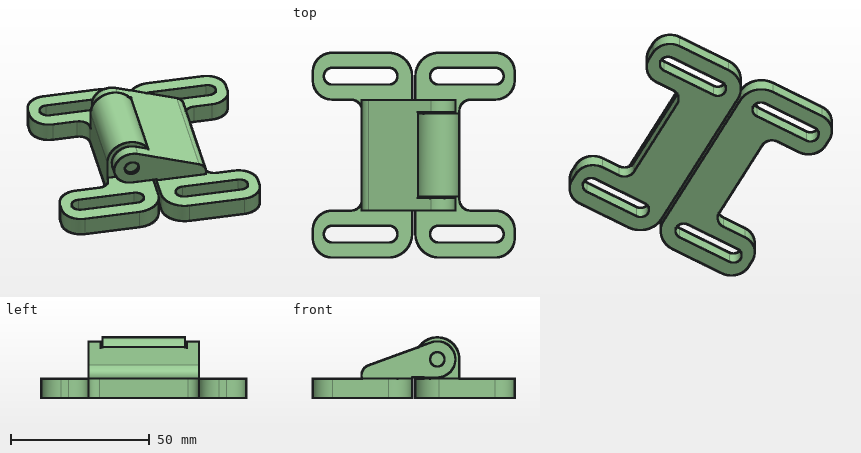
import cadquery as cq
import math

plate_thickness = 7.0
gap_half = 0.5
plate_reach = 36.5
half_length = 37.0
waist_half_length = 20.0
waist_fillet = 4.0
outer_corner_radius = 7.1
inner_corner_radius = 8.65
slot_length = 26.5
slot_width = 6.0
slot_center_x = 19.2
slot_center_y = (half_length + waist_half_length) / 2

axis_x = 8.5
axis_z = 14.0

knuckle_radius = 8.0
knuckle_width = 29.9
foot_left_x = 3.55
knuckle_right_x = axis_x + knuckle_radius

arm_width = 2 * waist_half_length
ear_radius = 6.5
arm_slope = math.radians(20)
nose_radius = 4.0
nose_tangent_x = -16.3
pocket_radius = 8.2
pocket_width = 31.1
waist_left_x = -18.65

pin_radius = 2.6
pin_recess = 1.0
pin_length = arm_width - 2 * pin_recess


def cylinder_on_axis(radius, width):
    """Cylinder on the hinge axis, centred on the XZ plane."""
    return (
        cq.Workplane("XZ", origin=(axis_x, width / 2, axis_z))
        .circle(radius)
        .extrude(width)
    )


def box_between(x_min, x_max, width, z_min, z_max):
    """Box centred on the XZ plane."""
    return (
        cq.Workplane("XY", origin=((x_min + x_max) / 2, 0, z_min))
        .rect(x_max - x_min, width)
        .extrude(z_max - z_min)
    )


def make_plate(side, waist_x):
    """C-shaped plate with two slotted lugs; side is -1 (left) or 1 (right)."""
    inner_x = side * gap_half
    outer_x = side * plate_reach
    plate = (
        cq.Workplane("XY")
        .moveTo(inner_x, -half_length)
        .lineTo(outer_x, -half_length)
        .lineTo(outer_x, -waist_half_length)
        .lineTo(waist_x, -waist_half_length)
        .lineTo(waist_x, waist_half_length)
        .lineTo(outer_x, waist_half_length)
        .lineTo(outer_x, half_length)
        .lineTo(inner_x, half_length)
        .close()
        .extrude(plate_thickness)
    )
    outer_edges = plate.faces("<X" if side < 0 else ">X").edges("|Z")
    plate = outer_edges.fillet(outer_corner_radius)
    inner_edges = plate.faces(">X" if side < 0 else "<X").edges("|Z")
    plate = inner_edges.fillet(inner_corner_radius)
    waist_corners = [(waist_x, y, plate_thickness / 2) for y in (-waist_half_length, waist_half_length)]
    for corner in waist_corners:
        plate = plate.edges(cq.selectors.NearestToPointSelector(corner)).fillet(waist_fillet)
    slots = (
        cq.Workplane("XY")
        .pushPoints([(side * slot_center_x, y) for y in (-slot_center_y, slot_center_y)])
        .slot2D(slot_length, slot_width)
        .extrude(plate_thickness)
    )
    return plate.cut(slots)


def make_arm():
    """Wedge-shaped arm from the rounded nose to the ears, with the knuckle pocket."""
    sin_slope = math.sin(arm_slope)
    cos_slope = math.cos(arm_slope)
    ear_tangent_x = axis_x - ear_radius * sin_slope
    ear_tangent_z = axis_z + ear_radius * cos_slope
    nose_tangent_z = ear_tangent_z - (ear_tangent_x - nose_tangent_x) * math.tan(arm_slope)
    nose_x = nose_tangent_x + nose_radius * sin_slope
    nose_z = nose_tangent_z - nose_radius * cos_slope
    nose_drop = nose_z - plate_thickness
    nose_foot_x = nose_x - math.sqrt(nose_radius**2 - nose_drop**2)
    ear_bottom_z = axis_z - ear_radius
    arm = (
        cq.Workplane("XZ", origin=(0, arm_width / 2, 0))
        .moveTo(nose_foot_x, plate_thickness)
        .threePointArc((nose_x - nose_radius, nose_z), (nose_tangent_x, nose_tangent_z))
        .lineTo(ear_tangent_x, ear_tangent_z)
        .threePointArc((axis_x + ear_radius, axis_z), (axis_x, ear_bottom_z))
        .lineTo(-gap_half, ear_bottom_z)
        .lineTo(-gap_half, plate_thickness)
        .close()
        .extrude(arm_width)
    )
    pocket = cylinder_on_axis(pocket_radius, pocket_width)
    return arm.cut(pocket).cut(cylinder_on_axis(pin_radius, arm_width))


def make_knuckle():
    """Barrel on a straight foot, with the pin ends standing out on both sides."""
    barrel = cylinder_on_axis(knuckle_radius, knuckle_width)
    foot = box_between(foot_left_x, knuckle_right_x, knuckle_width, plate_thickness, axis_z)
    pin = cylinder_on_axis(pin_radius, pin_length)
    return barrel.union(foot).union(pin)


left_leaf = make_plate(-1, waist_left_x).union(make_arm())
right_leaf = make_plate(1, knuckle_right_x).union(make_knuckle())

result = cq.Compound.makeCompound([left_leaf.val(), right_leaf.val()])